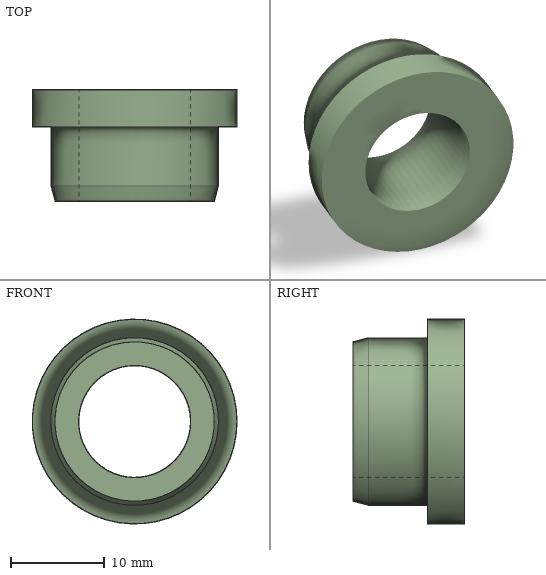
import cadquery as cq
import math

flange_diameter = 22.0
flange_thickness = 4.0
body_diameter = 18.0
bore_diameter = 12.0
total_length = 12.0

taper_length = 1.67
taper_angle = 15.0

flange_radius = flange_diameter / 2
body_radius = body_diameter / 2
bore_radius = bore_diameter / 2
tip_radius = body_radius - taper_length * math.tan(math.radians(taper_angle))

flange_start = total_length - flange_thickness
half_section = (
    cq.Workplane("XY")
    .moveTo(bore_radius, 0)
    .lineTo(tip_radius, 0)
    .lineTo(body_radius, taper_length)
    .lineTo(body_radius, flange_start)
    .lineTo(flange_radius, flange_start)
    .lineTo(flange_radius, total_length)
    .lineTo(bore_radius, total_length)
    .close()
)

result = half_section.revolve(360, (0, 0, 0), (0, 1, 0))